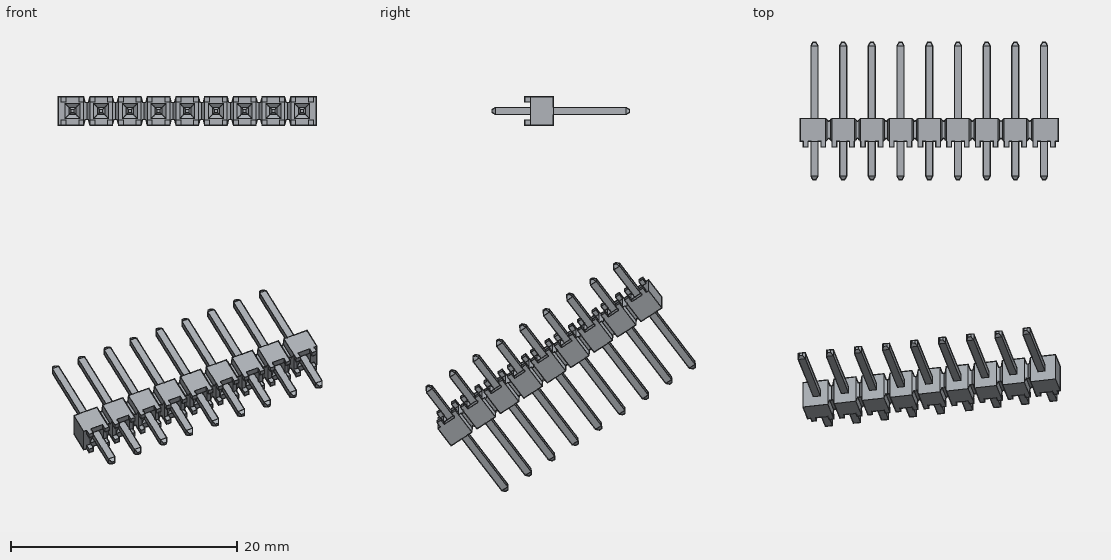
import cadquery as cq


pin_count = 9
row_length = 22.85
pitch = row_length / pin_count

housing_height = 2.54
housing_depth = 2.03

neck_height = 1.5
neck_floor_width = 0.27
groove_width = 0.55
groove_depth = (housing_height - neck_height) / 2
notch_depth = groove_width / 2

foot_width = 0.43
foot_height = 0.48
foot_length = 0.5

pin_width = 0.65
pin_front_length = 3.4
pin_length = 12.18
pin_tip_length = 0.32
pin_tip_width = 0.27

funnel_width = 1.33
funnel_depth = 0.25

pin_positions = [(i - (pin_count - 1) / 2) * pitch for i in range(pin_count)]
neck_positions = [x + pitch / 2 for x in pin_positions[:-1]]


def square_frustum(x, y_start, length, start_width, end_width):
    """Square section centred on (x, z = 0), tapering from y_start towards +Y."""
    return (
        cq.Workplane("XZ", origin=(x, y_start, 0))
        .rect(start_width, start_width)
        .workplane(offset=-length)
        .rect(end_width, end_width)
        .loft(ruled=True)
    )


def make_neck_cut(x):
    """Grooves above and below a neck, and V notches in the front and back faces."""
    half_groove = groove_width / 2
    half_floor = neck_floor_width / 2
    half_height = housing_height / 2
    cuts = cq.Workplane("XY")
    for side in (1, -1):
        groove = (
            cq.Workplane("XZ", origin=(x, 0, 0))
            .polyline([
                (-half_groove, side * half_height),
                (half_groove, side * half_height),
                (half_floor, side * (half_height - groove_depth)),
                (-half_floor, side * (half_height - groove_depth)),
            ])
            .close()
            .extrude(-housing_depth)
        )
        cuts = cuts.add(groove)
    for face_y, inward in ((0, 1), (housing_depth, -1)):
        notch = (
            cq.Workplane("XY", origin=(x, face_y, -half_height))
            .polyline([(-half_groove, 0), (half_groove, 0), (0, inward * notch_depth)])
            .close()
            .extrude(housing_height)
        )
        cuts = cuts.add(notch)
    return cuts.combine()


def make_feet(x):
    """Four standoff feet at the front corners of one cell."""
    foot_x = (pitch - groove_width - foot_width) / 2
    foot_z = (housing_height - foot_height) / 2
    return (
        cq.Workplane("XZ", origin=(x, 0, 0))
        .rect(2 * foot_x, 2 * foot_z, forConstruction=True)
        .vertices()
        .rect(foot_width, foot_height)
        .extrude(foot_length)
    )


def make_pin(x):
    """Square pin with a tapered tip at each end."""
    front_y = -pin_front_length
    shank_length = pin_length - 2 * pin_tip_length
    shank_start = front_y + pin_tip_length
    shank = square_frustum(x, shank_start, shank_length, pin_width, pin_width)
    front_tip = square_frustum(x, front_y, pin_tip_length, pin_tip_width, pin_width)
    back_tip = square_frustum(x, shank_start + shank_length, pin_tip_length, pin_width, pin_tip_width)
    return shank.union(front_tip).union(back_tip)


result = cq.Workplane("XY").box(row_length, housing_depth, housing_height).translate((0, housing_depth / 2, 0))

for neck_x in neck_positions:
    result = result.cut(make_neck_cut(neck_x))

for pin_x in pin_positions:
    result = result.cut(square_frustum(pin_x, 0, funnel_depth, funnel_width, pin_width))
    result = result.union(make_feet(pin_x))
    result = result.union(make_pin(pin_x))